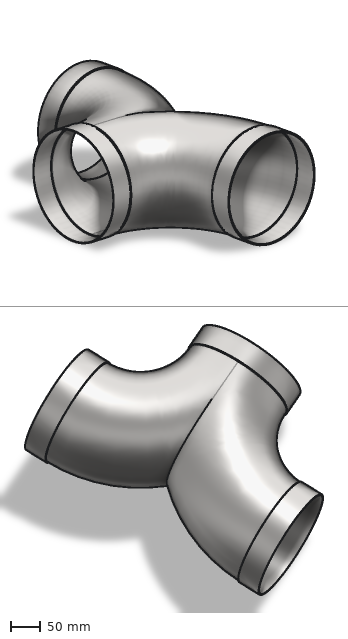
import cadquery as cq

wall = 1.8

pipe_outer_diameter = 200.0
pipe_inner_diameter = pipe_outer_diameter - 2 * wall

collar_outer_diameter = pipe_outer_diameter + 2 * wall
inlet_socket_diameter = pipe_outer_diameter
side_socket_diameter = pipe_outer_diameter - wall
inlet_socket_depth = 40.0
collar_length = inlet_socket_depth + wall
side_socket_depth = collar_length

bend_radius = 200.0
side_collar_overlap = wall
side_mouth_x = bend_radius + collar_length - side_collar_overlap
inlet_mouth_y = -(bend_radius + collar_length) / 2
bend_start_y = inlet_mouth_y + collar_length
side_axis_y = bend_start_y + bend_radius

inlet_mouth = cq.Plane(origin=(0, inlet_mouth_y, 0), xDir=(1, 0, 0), normal=(0, 1, 0))
left_mouth = cq.Plane(origin=(-side_mouth_x, side_axis_y, 0), xDir=(0, 1, 0), normal=(1, 0, 0))


def cylinder(mouth, diameter, length):
    """Solid cylinder running from a mouth plane into the fitting."""
    return cq.Workplane(mouth).circle(diameter / 2).extrude(length)


def collar(mouth, bore_diameter):
    """Ring of full collar length starting at a mouth plane."""
    outside = cylinder(mouth, collar_outer_diameter, collar_length)
    return outside.cut(cylinder(mouth, bore_diameter, collar_length))


def inlet_collar():
    """Inlet ring, bored like the pipe and counterbored for the socket."""
    ring = collar(inlet_mouth, pipe_inner_diameter)
    return ring.cut(cylinder(inlet_mouth, inlet_socket_diameter, inlet_socket_depth))


def left_half_space():
    """Block filling everything on the left of the centre plane X = 0."""
    size = 4 * side_mouth_x
    return cq.Workplane("XY").box(size, size, size).translate((-size / 2, 0, 0))


def left_bend():
    """Quarter-circle pipe from the inlet to the left mouth, cut off at the centre plane."""
    section = cq.Workplane("XZ", origin=(0, bend_start_y, 0))
    section = section.circle(pipe_outer_diameter / 2).circle(pipe_inner_diameter / 2)
    bend = section.revolve(90, (-bend_radius, 0), (-bend_radius, 1))
    return bend.intersect(left_half_space())


def left_branch():
    """Left bend with its collar; the socket also counterbores the overlapped end of the bend."""
    branch = left_bend().union(collar(left_mouth, side_socket_diameter))
    return branch.cut(cylinder(left_mouth, side_socket_diameter, side_socket_depth))


left = left_branch()
result = inlet_collar().union(left).union(left.mirror("YZ"))